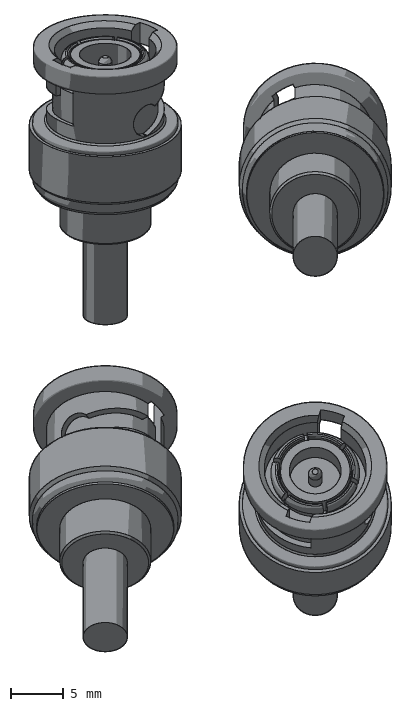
import cadquery as cq
import math

total_height = 28.75
crimp_bottom = 9.52
ring_bottom = 13.83
ring_shoulder = 20.8
cavity_floor = 25.5
neck_top = 26.42
collar_bottom = 26.75
dielectric_top = 27.75
finger_top = 27.85
pin_top = 27.48

cable_radius = 2.13
crimp_radius = 4.37
ring_radius = 7.3
ring_step_radius = 7.0
neck_radius = 5.65
collar_radius = 6.9

knurl_top = 20.33
knurl_bottom = 15.45
lower_step_round_top = 14.55
lower_step_round_bottom = 14.3
lower_step_cone = 0.25
lower_step_round_depth = 0.12
lower_step_edge_depth = 0.05
ring_top_round = 0.17
neck_base_chamfer = 0.17
crimp_chamfer = 0.2

collar_top_round = 0.2
collar_bottom_round = 0.23
collar_cone_radius = 6.73

lip_radius = 4.9
lip_chamfer = 0.52

finger_bulge_radius = 4.25
finger_stem_radius = 3.82
finger_bulge_height = 1.38
finger_inner_radius = 3.5
finger_inner_chamfer = 0.15
finger_slits = 6
finger_slit_width = 0.4
dielectric_radius = 3.34
dielectric_bore_radius = 2.47
pin_radius = 0.65
pin_tip_radius = 0.3
pin_nose_height = 0.5
pin_nose_bulge = 0.05

track_core_radius = 5.05
track_outer_radius = 6.0
track_width = 2.35
track_slope = 14.0
latch_radius = 1.6
latch_height = 22.65


def quarter_round(profile, start, end, bulge):
    """Add a quarter-round from start to end, curving toward the corner point bulge."""
    blend = math.sqrt(0.5)
    centre = (start[0] + end[0] - bulge[0], start[1] + end[1] - bulge[1])
    middle = tuple(c + blend * (b - c) for c, b in zip(centre, bulge))
    return profile.threePointArc(middle, end)


def revolve_profile(profile):
    return profile.close().revolve(360, (0, 0, 0), (0, 1, 0))


def tube(outer_radius, inner_radius, bottom, top):
    return (
        cq.Workplane("XY", origin=(0, 0, bottom))
        .circle(outer_radius)
        .circle(inner_radius)
        .extrude(top - bottom)
    )


def make_shell():
    """Turned outer shape, solid inside."""
    knurl_chamfer = ring_radius - ring_step_radius
    lower_round_radius = ring_step_radius - lower_step_round_depth
    lower_cone_radius = lower_round_radius - lower_step_cone
    lower_cone_bottom = lower_step_round_bottom - lower_step_cone
    profile = (
        cq.Workplane("XZ")
        .moveTo(0, 0)
        .lineTo(cable_radius, 0)
        .lineTo(cable_radius, crimp_bottom)
        .lineTo(crimp_radius - crimp_chamfer, crimp_bottom)
        .lineTo(crimp_radius, crimp_bottom + crimp_chamfer)
        .lineTo(crimp_radius, ring_bottom)
        .lineTo(lower_cone_radius - lower_step_edge_depth, ring_bottom)
        .lineTo(lower_cone_radius, lower_cone_bottom)
        .lineTo(lower_round_radius, lower_step_round_bottom)
        .tangentArcPoint((ring_step_radius, lower_step_round_top), relative=False)
        .lineTo(ring_step_radius, knurl_bottom - knurl_chamfer)
        .lineTo(ring_radius, knurl_bottom)
        .lineTo(ring_radius, knurl_top)
        .lineTo(ring_step_radius, knurl_top)
        .lineTo(ring_step_radius, ring_shoulder - ring_top_round)
    )
    profile = quarter_round(
        profile,
        (ring_step_radius, ring_shoulder - ring_top_round),
        (ring_step_radius - ring_top_round, ring_shoulder),
        (ring_step_radius, ring_shoulder),
    )
    profile = (
        profile.lineTo(neck_radius + neck_base_chamfer, ring_shoulder)
        .lineTo(neck_radius, ring_shoulder + neck_base_chamfer)
        .lineTo(neck_radius, neck_top)
        .lineTo(collar_cone_radius, collar_bottom)
        .tangentArcPoint((collar_radius, collar_bottom + collar_bottom_round), relative=False)
        .lineTo(collar_radius, total_height - collar_top_round)
    )
    profile = quarter_round(
        profile,
        (collar_radius, total_height - collar_top_round),
        (collar_radius - collar_top_round, total_height),
        (collar_radius, total_height),
    )
    return revolve_profile(profile.lineTo(0, total_height))


def make_cavity():
    """Open mating cavity with a chamfered mouth."""
    cavity = cq.Workplane("XY", origin=(0, 0, cavity_floor)).circle(lip_radius)
    cavity = cavity.extrude(total_height - cavity_floor)
    mouth = (
        cq.Workplane("XZ")
        .moveTo(0, total_height - lip_chamfer)
        .lineTo(lip_radius, total_height - lip_chamfer)
        .lineTo(lip_radius + lip_chamfer, total_height)
        .lineTo(0, total_height)
    )
    return cavity.union(revolve_profile(mouth))


def make_track():
    """One bayonet track: entry notch, sloped ramp and round latch hole on the -X side."""
    half_width = track_width / 2
    slope = math.tan(math.radians(track_slope))
    stretch = 1 / math.cos(math.radians(track_slope))
    reach = ring_radius

    floor_at_axis = latch_height - latch_radius * stretch
    roof_at_axis = floor_at_axis + track_width * stretch
    rise = reach * slope
    ramp = (
        cq.Workplane("YZ", origin=(-reach, 0, 0))
        .moveTo(0, floor_at_axis)
        .lineTo(-reach, floor_at_axis + rise)
        .lineTo(-reach, roof_at_axis + rise)
        .lineTo(0, roof_at_axis)
        .close()
        .extrude(reach + half_width)
    )
    notch = (
        cq.Workplane("YZ", origin=(-half_width, 0, 0))
        .moveTo(0, floor_at_axis)
        .lineTo(-reach, floor_at_axis + rise)
        .lineTo(-reach, total_height)
        .lineTo(0, total_height)
        .close()
        .extrude(track_width)
    )
    latch = (
        cq.Workplane("YZ", origin=(-reach, 0, latch_height))
        .circle(latch_radius)
        .extrude(reach)
    )
    return ramp.union(notch).union(latch)


def make_tracks():
    """Two opposite tracks, limited to the wall around the core."""
    first = make_track()
    second = first.rotate((0, 0, 0), (0, 0, 1), 180)
    wall = tube(track_outer_radius, track_core_radius, ring_shoulder, cavity_floor)
    entry = tube(track_outer_radius, finger_bulge_radius, cavity_floor, total_height)
    return first.union(second).intersect(wall.union(entry))


def make_fingers():
    """Slit ring of spring contacts, bulged outward at the tip."""
    bulge_bottom = finger_top - finger_bulge_height
    profile = (
        cq.Workplane("XZ")
        .moveTo(finger_inner_radius, cavity_floor)
        .lineTo(finger_stem_radius, cavity_floor)
        .lineTo(finger_stem_radius, bulge_bottom)
        .threePointArc(
            (finger_bulge_radius, bulge_bottom + finger_bulge_height / 2),
            (finger_stem_radius, finger_top),
        )
        .lineTo(finger_inner_radius + finger_inner_chamfer, finger_top)
        .lineTo(finger_inner_radius, finger_top - finger_inner_chamfer)
    )
    fingers = revolve_profile(profile)
    slit = (
        cq.Workplane("XY", origin=(finger_bulge_radius, 0, cavity_floor))
        .rect(finger_bulge_radius, finger_slit_width)
        .extrude(finger_top - cavity_floor)
    )
    for index in range(finger_slits):
        fingers = fingers.cut(slit.rotate((0, 0, 0), (0, 0, 1), index * 360 / finger_slits))
    return fingers


def make_pin():
    """Centre pin with a rounded, flat-tipped nose."""
    nose_bottom = pin_top - pin_nose_height
    nose_taper = pin_radius - pin_tip_radius
    nose_length = math.hypot(nose_taper, pin_nose_height)
    nose_middle = (
        (pin_radius + pin_tip_radius) / 2 + pin_nose_bulge * pin_nose_height / nose_length,
        (nose_bottom + pin_top) / 2 + pin_nose_bulge * nose_taper / nose_length,
    )
    profile = (
        cq.Workplane("XZ")
        .moveTo(0, cavity_floor)
        .lineTo(pin_radius, cavity_floor)
        .lineTo(pin_radius, nose_bottom)
        .threePointArc(nose_middle, (pin_tip_radius, pin_top))
        .lineTo(0, pin_top)
    )
    return revolve_profile(profile)


dielectric = tube(dielectric_radius, dielectric_bore_radius, cavity_floor, dielectric_top)

result = (
    make_shell()
    .cut(make_cavity())
    .cut(make_tracks())
    .union(make_fingers())
    .union(dielectric)
    .union(make_pin())
)